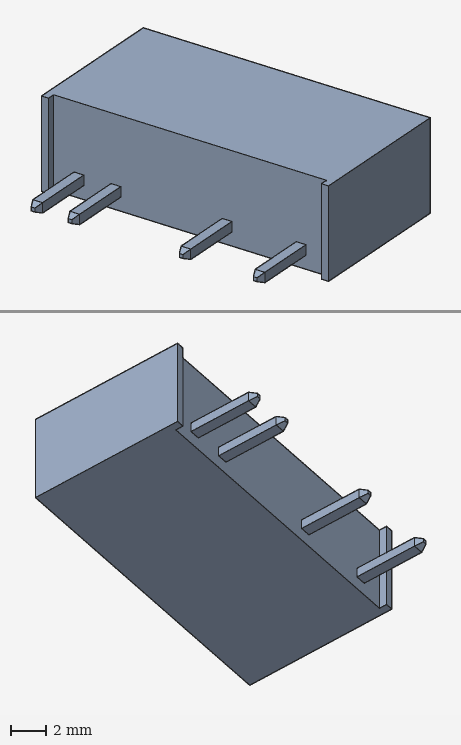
import cadquery as cq

case_width = 19.67
case_height = 6.08
overall_depth = 14.3
foot_width = 0.5
foot_length = 0.51

pin_pitch = 2.54
pin_steps = (-3, -2, 1, 3)
pin_size = 0.67
pin_reach = 4.1
pin_tip_size = 0.25
pin_tip_length = 0.47
pin_center_z = 1.24

case_depth = overall_depth - pin_reach
pin_face_y = foot_length
shank_end_y = pin_tip_length - pin_reach


def full_height_block(width, depth):
    """Full-height block centred on X that starts at Y = 0."""
    return cq.Workplane("XY").box(width, depth, case_height, centered=(True, False, False))


def make_case():
    """Block whose pin face is recessed between two full-height feet."""
    recess = full_height_block(case_width - 2 * foot_width, foot_length)
    return full_height_block(case_width, case_depth).cut(recess)


def make_pin(x):
    """Square pin along -Y with a tapered, flat-ended tip."""
    shank = (
        cq.Workplane("XZ", origin=(x, pin_face_y, pin_center_z))
        .rect(pin_size, pin_size)
        .extrude(pin_face_y - shank_end_y)
    )
    tip = (
        cq.Workplane("XZ", origin=(x, shank_end_y, pin_center_z))
        .rect(pin_size, pin_size)
        .workplane(offset=pin_tip_length)
        .rect(pin_tip_size, pin_tip_size)
        .loft()
    )
    return shank.union(tip)


result = make_case()
for step in pin_steps:
    result = result.union(make_pin(step * pin_pitch))